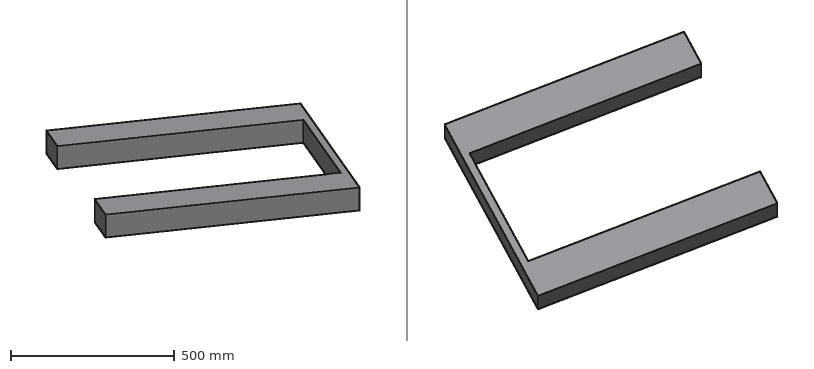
import cadquery as cq

width = 685.5
length = 806.5
height = 77.0

leg_width = 127.5
bridge_depth = 26.0

opening_width = width - 2 * leg_width
opening_length = length - bridge_depth

frame = cq.Workplane("XY").box(width, length, height)
opening = (
    cq.Workplane("XY")
    .box(opening_width, opening_length, height)
    .translate((0, -bridge_depth / 2, 0))
)

result = frame.cut(opening)